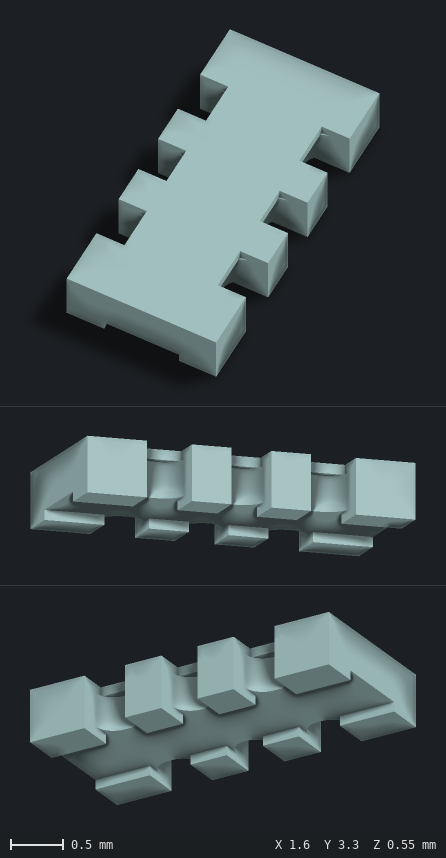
import cadquery as cq
import math

LENGTH = 3.3
WIDTH = 1.6
HEIGHT = 0.55

METAL_THICKNESS = 0.1
TOP_LAP = 0.3
BOTTOM_LAP = 0.4
END_TERMINAL_LENGTH = 0.6
INNER_TERMINAL_LENGTH = 0.4
INNER_PITCH = 0.8

SUBSTRATE_WIDTH = WIDTH - 2 * METAL_THICKNESS
SUBSTRATE_BOTTOM = METAL_THICKNESS
SUBSTRATE_TOP = HEIGHT - METAL_THICKNESS

COATING_WIDTH = WIDTH - 2 * TOP_LAP

END_CENTER = (LENGTH - END_TERMINAL_LENGTH) / 2
INNER_CENTER = INNER_PITCH / 2
TERMINALS = [
    (-END_CENTER, END_TERMINAL_LENGTH),
    (-INNER_CENTER, INNER_TERMINAL_LENGTH),
    (INNER_CENTER, INNER_TERMINAL_LENGTH),
    (END_CENTER, END_TERMINAL_LENGTH),
]

NOTCH_RADIUS = (INNER_PITCH - INNER_TERMINAL_LENGTH) / 2
NOTCH_STRAIGHT = 0.1
TOLERANCE = 0.0003


def notch_cutter(side, y_start, y_end):
    """Notch across one gap, with rounded inner corners; side is +1 or -1 along X."""
    outer_x = side * SUBSTRATE_WIDTH / 2
    arc_x = outer_x - side * NOTCH_STRAIGHT
    floor_x = arc_x - side * NOTCH_RADIUS
    diagonal = NOTCH_RADIUS * math.sqrt(0.5)
    mid_x = arc_x - side * diagonal
    floor_start = y_start + NOTCH_RADIUS
    floor_end = y_end - NOTCH_RADIUS
    outline = (
        cq.Workplane("XY", origin=(0, 0, SUBSTRATE_BOTTOM))
        .moveTo(outer_x, y_start)
        .lineTo(arc_x, y_start)
        .threePointArc((mid_x, floor_start - diagonal), (floor_x, floor_start))
    )
    if floor_end - floor_start > TOLERANCE:
        outline = outline.lineTo(floor_x, floor_end)
    return (
        outline.threePointArc((mid_x, floor_end + diagonal), (arc_x, y_end))
        .lineTo(outer_x, y_end)
        .close()
        .extrude(SUBSTRATE_TOP - SUBSTRATE_BOTTOM)
    )


def make_substrate():
    """Ceramic plate with a notch in both long sides at every gap."""
    substrate = cq.Workplane("XY", origin=(0, 0, SUBSTRATE_BOTTOM)).box(
        SUBSTRATE_WIDTH, LENGTH, SUBSTRATE_TOP - SUBSTRATE_BOTTOM, centered=(True, True, False)
    )
    for (center, length), (next_center, next_length) in zip(TERMINALS, TERMINALS[1:]):
        gap_start = center + length / 2
        gap_end = next_center - next_length / 2
        for side in (-1, 1):
            substrate = substrate.cut(notch_cutter(side, gap_start, gap_end))
    return substrate


def make_coating():
    """Flat cover layer on top of the substrate."""
    return cq.Workplane("XY", origin=(0, 0, SUBSTRATE_TOP)).box(
        COATING_WIDTH, LENGTH, HEIGHT - SUBSTRATE_TOP, centered=(True, True, False)
    )


def make_terminal(side, center, length):
    """C-shaped clip around one substrate side; side is +1 or -1 along X."""
    outer_x = side * WIDTH / 2
    inner_x = side * SUBSTRATE_WIDTH / 2
    top_x = outer_x - side * TOP_LAP
    bottom_x = outer_x - side * BOTTOM_LAP
    profile = [
        (top_x, HEIGHT),
        (outer_x, HEIGHT),
        (outer_x, 0),
        (bottom_x, 0),
        (bottom_x, SUBSTRATE_BOTTOM),
        (inner_x, SUBSTRATE_BOTTOM),
        (inner_x, SUBSTRATE_TOP),
        (top_x, SUBSTRATE_TOP),
    ]
    return (
        cq.Workplane("XZ", origin=(0, center, 0))
        .polyline(profile)
        .close()
        .extrude(length / 2, both=True)
    )


substrate = make_substrate()
coating = make_coating()
terminals = [make_terminal(side, center, length) for side in (-1, 1) for center, length in TERMINALS]

result = cq.Compound.makeCompound(
    [substrate.val(), coating.val(), *[terminal.val() for terminal in terminals]]
)